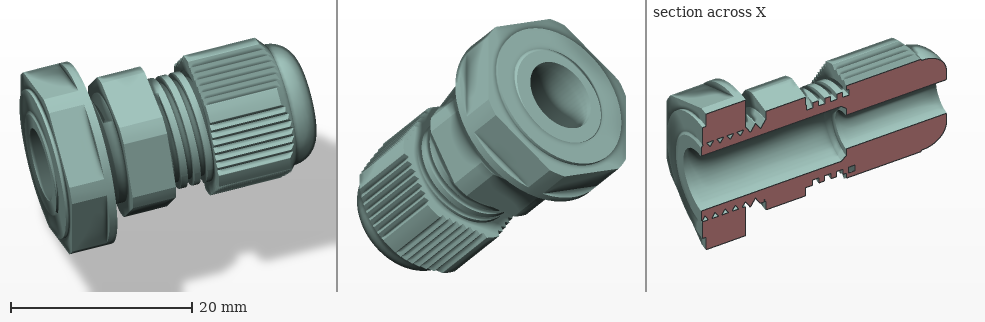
import cadquery as cq
import math

total_length = 30.5
lip_start = 0.18
locknut_start = 0.6
flange_start = 4.65
flange_end = 5.55
body_hex_start = 8.02
body_hex_end = 13.02
cap_start = 18.0
neck_end = 21.35
chamfer_start = 26.23
dome_start = 27.42

flange_radius = 20.7 / 2
locknut_flats = 18.85
lip_radius = 8.48
locknut_hole_radius = 5.85

hex_corner_radius = 8.2
hex_flats = 15.07

dome_radius = 6.85
dome_fillet = 3.02
knurls_per_flat = 7
knurl_pitch = 0.9
knurl_depth = 0.5

entry_crest_radius = 6.22
entry_root_radius = 5.2
entry_pitch = 1.25
entry_groove_width = 1.15
entry_groove_end = 7.38
entry_turns = 7

neck_crest_radius = 6.3
neck_root_radius = 5.52
neck_pitch = 1.5
neck_groove_width = neck_pitch / 2
neck_groove_start = 13.48
neck_turns = 3.5
thread_runout = 1.1

bore_radius = 4.15
shoulder_radius = 3.57
cable_hole_radius = 2.53

cutter_margin = 0.05


def axial_plane(y):
    """Workplane across the axis at height y, with its normal along +Y."""
    return cq.Workplane(cq.Plane(origin=(0, y, 0), xDir=(1, 0, 0), normal=(0, 1, 0)))


def disc(radius, start, end):
    return axial_plane(start).circle(radius).extrude(end - start)


def turned_hex(flats, corner_radius, start, end, corner_angle):
    """Hexagonal prism with its corners cut back to a cylinder."""
    hexagon = (
        axial_plane(start)
        .polygon(6, flats / math.cos(math.pi / 6))
        .extrude(end - start)
        .rotate((0, 0, 0), (0, 1, 0), corner_angle)
    )
    return hexagon.intersect(disc(corner_radius, start, end))


def helical_groove(profile, pitch, turns, start, root_radius):
    """Right-handed groove around Y that begins on the +Z side.

    The profile lists (radius, axial offset) points.
    """
    path = cq.Workplane(cq.Wire.makeHelix(pitch, turns * pitch, root_radius))
    groove = cq.Workplane("XZ").polyline(profile).close().sweep(path, isFrenet=True)
    return (
        groove.rotate((0, 0, 0), (0, 0, 1), -90)
        .rotate((0, 0, 0), (1, 0, 0), -90)
        .translate((0, start, 0))
    )


def groove_runout(profile, y, root_radius, crest_radius, side):
    """Sloping end of a groove: it rises from the root at X = 0 to the crest."""
    crest_height = math.sqrt(crest_radius**2 - thread_runout**2)
    top = max(radius for radius, offset in profile)
    half_width = max(offset for radius, offset in profile)
    length = thread_runout * (top - root_radius) / (crest_height - root_radius)
    channel = (
        cq.Workplane("YZ")
        .polyline([(y + offset, radius) for radius, offset in profile])
        .close()
        .extrude(side * length)
    )
    ramp = (
        cq.Workplane("XZ", origin=(0, y, 0))
        .polyline([(0, root_radius), (0, top), (side * length, top)])
        .close()
        .extrude(half_width + cutter_margin, both=True)
    )
    return channel.intersect(ramp)


def entry_thread():
    half_width = entry_groove_width / 2
    outer_radius = entry_crest_radius + cutter_margin
    outer_half = half_width * (outer_radius - entry_root_radius) / (entry_crest_radius - entry_root_radius)
    profile = [(entry_root_radius, 0), (outer_radius, -outer_half), (outer_radius, outer_half)]
    groove_start = entry_groove_end - entry_turns * entry_pitch
    groove = helical_groove(profile, entry_pitch, entry_turns, groove_start, entry_root_radius)
    runout = groove_runout(profile, entry_groove_end, entry_root_radius, entry_crest_radius, 1)
    return disc(entry_crest_radius, 0, body_hex_start).cut(groove).cut(runout)


def neck_thread():
    """Thread that carries on inside the cap, up to the end of the cap's opening."""
    half_width = neck_groove_width / 2
    outer_radius = neck_crest_radius + cutter_margin
    profile = [
        (neck_root_radius, -half_width),
        (outer_radius, -half_width),
        (outer_radius, half_width),
        (neck_root_radius, half_width),
    ]
    groove = helical_groove(profile, neck_pitch, neck_turns, neck_groove_start, neck_root_radius)
    runout = groove_runout(profile, neck_groove_start, neck_root_radius, neck_crest_radius, -1)
    return disc(neck_crest_radius, body_hex_end, neck_end).cut(groove).cut(runout)


def locknut():
    """Flanged hexagon nut, bored so that only the thread crests bite into it."""
    flange = disc(flange_radius, flange_start, flange_end)
    lip = disc(lip_radius, lip_start, locknut_start)
    hexagon = turned_hex(locknut_flats, flange_radius, locknut_start, flange_start, 30)
    hole = disc(locknut_hole_radius, lip_start, flange_end)
    return hexagon.union(flange).union(lip).cut(hole)


def knurl_grooves():
    """V grooves along the cap, in a row on each of its six flats."""
    flat = hex_flats / 2
    row = axial_plane(cap_start)
    for index in range(knurls_per_flat):
        x = (index - (knurls_per_flat - 1) / 2) * knurl_pitch
        corners = [(x - knurl_pitch / 2, flat), (x + knurl_pitch / 2, flat), (x, flat - knurl_depth)]
        row = row.polyline(corners).close()
    row = row.extrude(dome_start - cap_start)
    grooves = cq.Workplane("XY")
    for side in range(6):
        grooves = grooves.add(row.rotate((0, 0, 0), (0, 1, 0), 60 * side))
    return grooves.combine()


def cap():
    grip = turned_hex(hex_flats, hex_corner_radius, cap_start, dome_start, 0)
    envelope = (
        cq.Workplane("XY")
        .polyline(
            [
                (0, cap_start),
                (hex_corner_radius, cap_start),
                (hex_corner_radius, chamfer_start),
                (dome_radius, dome_start),
                (0, dome_start),
            ]
        )
        .close()
        .revolve(360, (0, 0, 0), (0, 1, 0))
    )
    dome = disc(dome_radius, dome_start, total_length).faces(">Y").edges().fillet(dome_fillet)
    opening = disc(neck_crest_radius, cap_start, neck_end)
    return grip.intersect(envelope).cut(knurl_grooves()).union(dome).cut(opening)


def bore():
    """Bore up to the cap with a 45 degree shoulder at its end, then a cable hole through the seal."""
    shoulder_start = cap_start - (bore_radius - shoulder_radius)
    return (
        cq.Workplane("XY")
        .polyline(
            [
                (0, 0),
                (bore_radius, 0),
                (bore_radius, shoulder_start),
                (shoulder_radius, cap_start),
                (cable_hole_radius, cap_start),
                (cable_hole_radius, total_length),
                (0, total_length),
            ]
        )
        .close()
        .revolve(360, (0, 0, 0), (0, 1, 0))
    )


body_hex = turned_hex(hex_flats, hex_corner_radius, body_hex_start, body_hex_end, 0)
result = (
    entry_thread()
    .union(locknut())
    .union(body_hex)
    .union(neck_thread())
    .union(cap())
    .cut(bore())
)